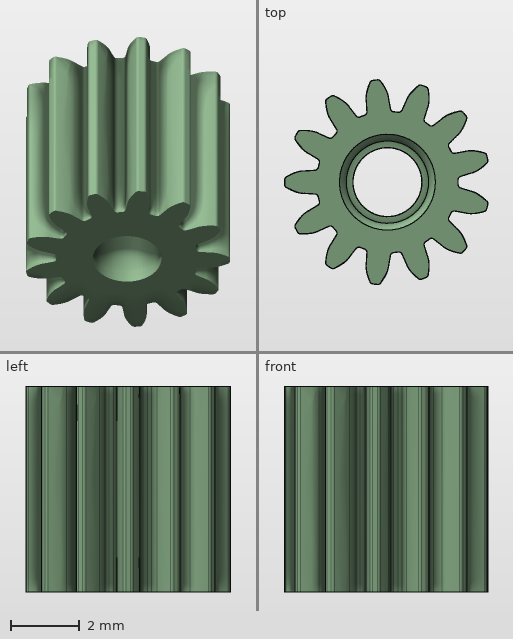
import cadquery as cq
import math

tooth_count = 13
pitch_radius = 2.6
tip_radius = 3
root_radius = 2.065
pressure_angle = math.radians(20)
tip_fillet = 0.1
root_fillet = 0.1
involute_steps = 6

root_half_width = 0.355

face_width = 6
bore_radius = 1.0
recess_floor_radius = 1.2
recess_depth = 0.2
recess_rim_radius = recess_floor_radius + recess_depth

base_radius = pitch_radius * math.cos(pressure_angle)
tooth_pitch = 2 * math.pi / tooth_count
root_angle = math.asin(root_half_width / root_radius)


def polar(radius, angle):
    return (radius * math.cos(angle), radius * math.sin(angle))


def involute_roll(pressure):
    """Involute function: the polar angle gained from the base circle."""
    return math.tan(pressure) - pressure


def half_tooth_angle(radius):
    """Half of the angle a tooth spans at a radius on its involute flank."""
    pressure = math.acos(min(1, base_radius / radius))
    return tooth_pitch / 4 + involute_roll(pressure_angle) - involute_roll(pressure)


def involute_radii():
    """Radii from base to tip, closer together at the base where the curve bends most."""
    height = tip_radius - base_radius
    return [base_radius + height * (step / involute_steps) ** 2 for step in range(involute_steps + 1)]


def add_tooth(outline, center_angle):
    """Add one tooth, counter-clockwise, and the root arc that leads to the next tooth."""
    radii = involute_radii()
    rising = [polar(r, center_angle - half_tooth_angle(r)) for r in radii]
    falling = [polar(r, center_angle + half_tooth_angle(r)) for r in reversed(radii)]
    return (
        outline.lineTo(*rising[0])
        .spline(rising[1:], includeCurrent=True)
        .threePointArc(polar(tip_radius, center_angle), falling[0])
        .spline(falling[1:], includeCurrent=True)
        .lineTo(*polar(root_radius, center_angle + root_angle))
        .threePointArc(
            polar(root_radius, center_angle + tooth_pitch / 2),
            polar(root_radius, center_angle + tooth_pitch - root_angle),
        )
    )


def toothed_body():
    first_tooth_angle = math.pi
    outline = cq.Workplane("XY").moveTo(*polar(root_radius, first_tooth_angle - root_angle))
    for tooth in range(tooth_count):
        outline = add_tooth(outline, first_tooth_angle + tooth * tooth_pitch)
    return outline.close().extrude(face_width)


def edges_at_radius(body, radius):
    """Lengthwise edges that lie at a given distance from the axis."""
    tolerance = 0.0005

    def lies_at_radius(edge):
        center = edge.Center()
        return abs(math.hypot(center.x, center.y) - radius) < tolerance

    return body.edges("|Z").filter(lies_at_radius)


def bore_cutter():
    """Through bore with a shallow conical recess in the top face."""
    recess_floor = face_width - recess_depth
    return (
        cq.Workplane("XZ")
        .polyline([
            (0, 0),
            (bore_radius, 0),
            (bore_radius, recess_floor),
            (recess_floor_radius, recess_floor),
            (recess_rim_radius, face_width),
            (0, face_width),
        ])
        .close()
        .revolve(360, (0, 0, 0), (0, 1, 0))
    )


gear = toothed_body()
gear = edges_at_radius(gear, tip_radius).fillet(tip_fillet)
gear = edges_at_radius(gear, root_radius).fillet(root_fillet)
result = gear.cut(bore_cutter())